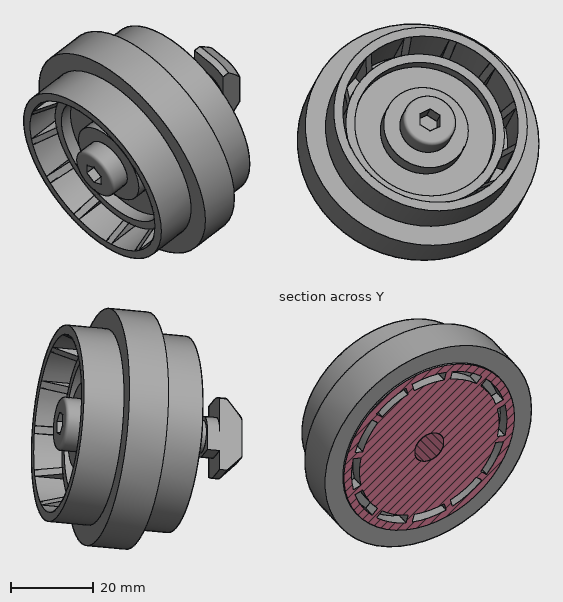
import cadquery as cq
import math


RIM_DIAMETER = 58.0
DRUM_DIAMETER = 48.0
COLLAR_DIAMETER = 22.0
RIM_FRONT_Y = 10.1
RIM_BACK_Y = 19.95
DRUM_BACK_Y = 30.05
COLLAR_BACK_Y = 33.5

MOUTH_DIAMETER = 43.5
RING_OUTER_DIAMETER = 39.3
RING_INNER_DIAMETER = 35.0
BOSS_DIAMETER = 21.0
RING_FRONT_Y = 6.5
RECESS_FLOOR_Y = 9.55
GROOVE_FLOOR_Y = 12.75
BOSS_FRONT_Y = 5.5

RIB_COUNT = 12
RIB_THICKNESS = 1.9
RIB_STEP_ANGLE = 360 / RIB_COUNT
RIB_FIRST_ANGLE = RIB_STEP_ANGLE / 2

SHANK_DIAMETER = 8.0
HEAD_DIAMETER = 13.0
HEAD_HEIGHT = 5.0
HEAD_FRONT_Y = BOSS_FRONT_Y - HEAD_HEIGHT
HEAD_FILLET = 0.8
SOCKET_ACROSS_FLATS = 5.0
SOCKET_DEPTH = 4.05
SOCKET_TURN_ANGLE = 30
BOLT_END_Y = 45.5
TIP_CHAMFER = 0.75

T_HEAD_WIDTH = 10.0
T_HEAD_LENGTH = 19.7
NECK_FRONT_Y = 36.4
WING_FRONT_Y = 39.5
WING_BEVEL_Y = 41.35
T_HEAD_BACK_Y = 45.2
WING_BEVEL = T_HEAD_BACK_Y - WING_BEVEL_Y


def disc(diameter, start_y, end_y):
    """Cylinder on the Y axis between two Y positions."""
    return cq.Workplane("XZ", origin=(0, start_y, 0)).circle(diameter / 2).extrude(start_y - end_y)


def make_rib():
    """Rib at +X across the groove, with a conical front edge from the ring out to the mouth."""
    inner_radius = RING_OUTER_DIAMETER / 2
    mouth_radius = MOUTH_DIAMETER / 2
    turned = (
        cq.Workplane("XY")
        .polyline(
            [
                (inner_radius, GROOVE_FLOOR_Y),
                (inner_radius, RING_FRONT_Y),
                (mouth_radius, 0),
                (mouth_radius, GROOVE_FLOOR_Y),
            ]
        )
        .close()
        .revolve(360, (0, 0, 0), (0, 1, 0))
    )
    slab = cq.Workplane("XY").box(
        mouth_radius, GROOVE_FLOOR_Y, RIB_THICKNESS, centered=(False, False, True)
    )
    return turned.intersect(slab)


def make_wheel():
    """Wheel with a raised rim, a stepped front recess, ribs and a bore for the bolt."""
    wheel = disc(DRUM_DIAMETER, 0, DRUM_BACK_Y)
    wheel = wheel.union(disc(RIM_DIAMETER, RIM_FRONT_Y, RIM_BACK_Y))
    wheel = wheel.union(disc(COLLAR_DIAMETER, DRUM_BACK_Y, COLLAR_BACK_Y))

    wheel = wheel.cut(disc(MOUTH_DIAMETER, 0, GROOVE_FLOOR_Y))
    ring = disc(RING_OUTER_DIAMETER, RING_FRONT_Y, GROOVE_FLOOR_Y)
    ring = ring.cut(disc(RING_INNER_DIAMETER, RING_FRONT_Y, RECESS_FLOOR_Y))
    wheel = wheel.union(ring)
    wheel = wheel.union(disc(BOSS_DIAMETER, BOSS_FRONT_Y, RECESS_FLOOR_Y))

    rib = make_rib()
    for index in range(RIB_COUNT):
        angle = RIB_FIRST_ANGLE + index * RIB_STEP_ANGLE
        wheel = wheel.union(rib.rotate((0, 0, 0), (0, 1, 0), angle))

    return wheel.cut(disc(SHANK_DIAMETER, BOSS_FRONT_Y, COLLAR_BACK_Y))


def make_t_head():
    """T-shaped head with two square quarters and two quarters rounded about the bolt axis."""
    half_width = T_HEAD_WIDTH / 2
    half_length = T_HEAD_LENGTH / 2
    back_half_length = half_length - WING_BEVEL
    half_profile = [
        (0, NECK_FRONT_Y),
        (half_width, NECK_FRONT_Y),
        (half_width, WING_FRONT_Y),
        (half_length, WING_FRONT_Y),
        (half_length, WING_BEVEL_Y),
        (back_half_length, T_HEAD_BACK_Y),
        (0, T_HEAD_BACK_Y),
    ]
    square_quarter = (
        cq.Workplane("YZ")
        .polyline([(y, radius) for radius, y in half_profile])
        .close()
        .extrude(-half_width)
    )
    round_quarter = (
        cq.Workplane("XY").polyline(half_profile).close().revolve(90, (0, 0, 0), (0, -1, 0))
    )
    wing_overhang = cq.Workplane("XY", origin=(half_width, WING_FRONT_Y, 0)).box(
        half_length, T_HEAD_BACK_Y - WING_FRONT_Y, half_length, centered=False
    )
    round_quarter = round_quarter.cut(wing_overhang)

    half = square_quarter.union(round_quarter)
    return half.union(half.rotate((0, 0, 0), (0, 1, 0), 180))


def make_bolt():
    """Socket-head bolt that carries the T-shaped head near its tip."""
    head = disc(HEAD_DIAMETER, HEAD_FRONT_Y, BOSS_FRONT_Y).faces("<Y").edges().fillet(HEAD_FILLET)
    shank = disc(SHANK_DIAMETER, BOSS_FRONT_Y, BOLT_END_Y).faces(">Y").edges().chamfer(TIP_CHAMFER)
    bolt = head.union(shank).union(make_t_head())

    socket_corner_diameter = SOCKET_ACROSS_FLATS / math.cos(math.pi / 6)
    socket = (
        cq.Workplane("XZ", origin=(0, HEAD_FRONT_Y, 0))
        .polygon(6, socket_corner_diameter)
        .extrude(-SOCKET_DEPTH)
        .rotate((0, 0, 0), (0, 1, 0), SOCKET_TURN_ANGLE)
    )
    return bolt.cut(socket)


wheel = make_wheel()
bolt = make_bolt()
result = cq.Compound.makeCompound([wheel.val(), bolt.val()])